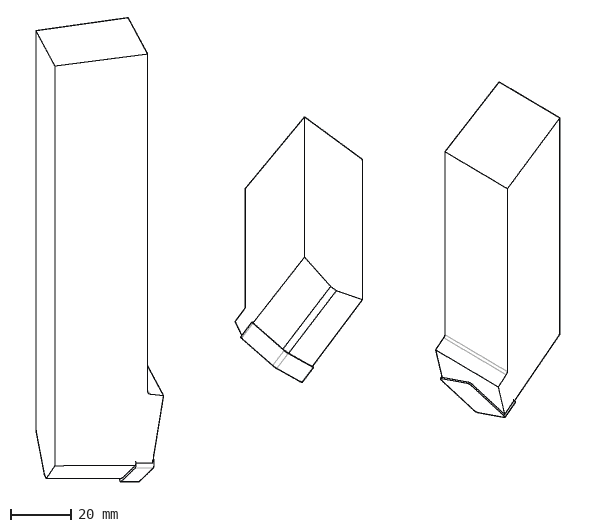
import cadquery as cq
import math


total_length = 171.4
total_depth = 37.4

shank_depth = 31.9
shank_front_width = 25.0
shank_rear_width = 24.3

tilt = 8.5
head_length = 39.5
shoulder_slope = 15.0
shoulder_fillet = 1.0
nose_flat_width = 2.4

insert_side = 19.0
insert_thickness = 6.3
insert_corner_radius = 1.2
insert_stand_out = 0.5
insert_overhang = 0.77

sin_tilt = math.sin(math.radians(tilt))
cos_tilt = math.cos(math.radians(tilt))
tip_y = total_depth + insert_stand_out * cos_tilt - head_length * sin_tilt
seat_plane = cq.Plane(origin=(0, tip_y, 0), xDir=(1, 0, 0), normal=(0, -cos_tilt, sin_tilt))

corner_pullback = insert_corner_radius * (math.sqrt(2) - 1)
insert_centre_up = insert_side / math.sqrt(2) - corner_pullback


def seat_point(up, inward):
    """(y, z) of a point in the middle plane, given in the tilted frame of the seat."""
    return (tip_y + up * sin_tilt - inward * cos_tilt, up * cos_tilt + inward * sin_tilt)


def insert_block():
    """Square block with rounded corners, standing on one corner in the tilted seat."""
    return (
        cq.Workplane(seat_plane)
        .center(0, insert_centre_up)
        .transformed(rotate=(0, 0, 45))
        .rect(insert_side, insert_side)
        .extrude(insert_thickness)
        .edges(cq.selectors.ParallelDirSelector(seat_plane.zDir))
        .fillet(insert_corner_radius)
    )


def side_profile():
    """Shank and leaning head as seen along X, left square at the bottom."""
    shoulder_y, shoulder_z = seat_point(head_length, insert_stand_out)
    root_z = shoulder_z + (shoulder_y - shank_depth) * math.tan(math.radians(shoulder_slope))
    face_foot = seat_point(0, insert_stand_out)
    return (
        cq.Workplane("YZ")
        .moveTo(0, 0)
        .lineTo(0, total_length)
        .lineTo(shank_depth, total_length)
        .lineTo(shank_depth, root_z)
        .lineTo(shoulder_y, shoulder_z)
        .lineTo(*face_foot)
        .lineTo(face_foot[0], 0)
        .close()
        .extrude(shank_front_width, both=True)
        .edges(cq.selectors.NearestToPointSelector((0, shank_depth, root_z)))
        .fillet(shoulder_fillet)
    )


def tapered_section():
    """Full-length bar whose sides spread from the rear face to the front of the head."""
    spread = (shank_front_width - shank_rear_width) / shank_depth
    head_width = shank_rear_width + spread * total_depth
    return (
        cq.Workplane("XY")
        .moveTo(-shank_rear_width / 2, 0)
        .lineTo(shank_rear_width / 2, 0)
        .lineTo(head_width / 2, total_depth)
        .lineTo(-head_width / 2, total_depth)
        .close()
        .extrude(total_length)
    )


def pointed_envelope():
    """Right-angled point with a flat nose, square to the insert face and running through the holder."""
    half_flat = nose_flat_width / 2
    nose_up = half_flat + insert_overhang * math.sqrt(2) - corner_pullback
    half_span = shank_front_width
    flank_top_up = nose_up + half_span - half_flat
    return (
        cq.Workplane(seat_plane)
        .moveTo(-half_flat, nose_up)
        .lineTo(half_flat, nose_up)
        .lineTo(half_span, flank_top_up)
        .lineTo(half_span, 2 * total_length)
        .lineTo(-half_span, 2 * total_length)
        .lineTo(-half_span, flank_top_up)
        .close()
        .extrude(2 * total_length, both=True)
    )


def make_holder():
    """Shank and head in one piece, with the pocket that seats the insert."""
    blank = side_profile().intersect(tapered_section()).intersect(pointed_envelope())
    return blank.cut(insert_block()).solids()


holder = make_holder()
insert = insert_block().solids()

result = cq.Compound.makeCompound([holder.val(), insert.val()])